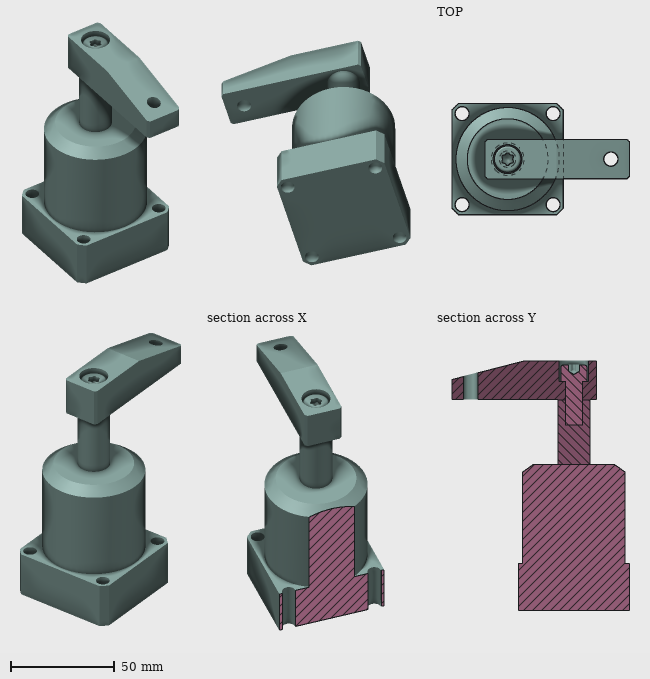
import cadquery as cq
import math

total_height = 121.0
base_height = 23.0
housing_height = 70.9
arm_thickness = 19.0
arm_bottom = total_height - arm_thickness

base_width = 54.0
base_corner_chamfer = 3.3
mount_hole_pitch = 44.0
mount_hole_diameter = 6.7
cylinder_diameter = 50.0
bevel_height = 3.9
bevel_width = 5.5

rod_diameter = 15.9

arm_width = arm_thickness
arm_tail = 11.0
arm_reach = 59.0
slope_start = 23.8
tip_thickness = 9.9
arm_corner_chamfer = 1.2
tip_hole_offset = 50.0
tip_hole_diameter = 6.8
counterbore_diameter = 14.0
counterbore_depth = 10.0

head_diameter = 12.8
head_height = 8.0
head_fillet = 1.2
shank_diameter = 8.0
rod_engagement = 12.1
head_bottom = total_height - counterbore_depth
head_top = head_bottom + head_height

lobe_count = 6
socket_tip_diameter = 6.2
socket_root_diameter = 5.0
socket_depth = 2.8
socket_point_angle = 120.0
first_lobe_angle = 90.0


def cylinder(diameter, bottom, height):
    """Upright cylinder on the rod axis."""
    return cq.Workplane("XY").workplane(offset=bottom).circle(diameter / 2).extrude(height)


def make_housing():
    """Square flange with clipped corners and mounting holes, topped by a bevelled cylinder."""
    base = (
        cq.Workplane("XY")
        .rect(base_width, base_width)
        .extrude(base_height)
        .edges("|Z")
        .chamfer(base_corner_chamfer)
    )
    mount_holes = (
        cq.Workplane("XY")
        .rect(mount_hole_pitch, mount_hole_pitch, forConstruction=True)
        .vertices()
        .circle(mount_hole_diameter / 2)
        .extrude(base_height)
    )
    barrel = cylinder(cylinder_diameter, base_height, housing_height - base_height)
    barrel = barrel.faces(">Z").chamfer(bevel_height, bevel_width)
    return base.cut(mount_holes).union(barrel)


def make_rod():
    """Round rod from the housing top to the arm underside, bored for the screw shank."""
    rod = cylinder(rod_diameter, housing_height, arm_bottom - housing_height)
    return rod.cut(cylinder(shank_diameter, arm_bottom - rod_engagement, rod_engagement))


def make_arm():
    """Bar with a sloping nose, a counterbored screw hole and a hole near its tip."""
    arm = (
        cq.Workplane("XZ", origin=(0, arm_width / 2, 0))
        .moveTo(-arm_tail, arm_bottom)
        .lineTo(arm_reach, arm_bottom)
        .lineTo(arm_reach, arm_bottom + tip_thickness)
        .lineTo(slope_start, total_height)
        .lineTo(-arm_tail, total_height)
        .close()
        .extrude(arm_width)
        .edges("|Z")
        .chamfer(arm_corner_chamfer)
    )
    screw_hole = cylinder(shank_diameter, arm_bottom, arm_thickness)
    counterbore = cylinder(counterbore_diameter, head_bottom, counterbore_depth)
    tip_hole = cylinder(tip_hole_diameter, arm_bottom, arm_thickness).translate((tip_hole_offset, 0, 0))
    return arm.cut(screw_hole).cut(counterbore).cut(tip_hole)


def make_socket():
    """Six-lobe recess with a conical bottom, one lobe pointing along +Y."""
    tip_radius = socket_tip_diameter / 2
    root_radius = socket_root_diameter / 2
    flank_radius = (tip_radius + root_radius) / 2
    step = 360.0 / lobe_count
    cone_depth = tip_radius / math.tan(math.radians(socket_point_angle / 2))
    wall_bottom = head_top - socket_depth
    cone_bottom = wall_bottom - cone_depth

    def polar(radius, degrees):
        angle = math.radians(degrees)
        return (radius * math.cos(angle), radius * math.sin(angle))

    outline = cq.Workplane("XY").workplane(offset=cone_bottom)
    outline = outline.moveTo(*polar(flank_radius, first_lobe_angle - step / 4))
    for lobe in range(lobe_count):
        tip_angle = first_lobe_angle + lobe * step
        root_angle = tip_angle + step / 2
        tip_end = polar(flank_radius, tip_angle + step / 4)
        root_end = polar(flank_radius, root_angle + step / 4)
        outline = outline.threePointArc(polar(tip_radius, tip_angle), tip_end)
        outline = outline.threePointArc(polar(root_radius, root_angle), root_end)
    lobes = outline.close().extrude(head_top - cone_bottom)

    cone = cq.Workplane(cq.Solid.makeCone(0, tip_radius, cone_depth)).translate((0, 0, cone_bottom))
    drilled_hole = cone.union(cylinder(socket_tip_diameter, wall_bottom, socket_depth))
    return drilled_hole.intersect(lobes)


def make_screw():
    """Cap screw with a rounded head, reaching through the arm into the rod."""
    shank_bottom = arm_bottom - rod_engagement
    head = cylinder(head_diameter, head_bottom, head_height).faces(">Z").edges().fillet(head_fillet)
    shank = cylinder(shank_diameter, shank_bottom, head_bottom - shank_bottom)
    return head.union(shank).cut(make_socket())


housing = make_housing()
rod = make_rod()
arm = make_arm()
screw = make_screw()

result = cq.Compound.makeCompound(
    [housing.solids().val(), rod.solids().val(), arm.solids().val(), screw.solids().val()]
)